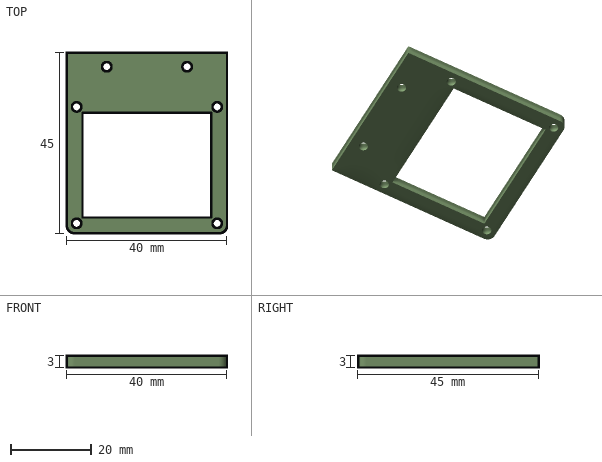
import cadquery as cq

plate_width = 40.0
plate_length = 45.0
plate_thickness = 3.0
corner_radius = 2.0

frame_border = 4.0
window_length = 26.0
window_width = plate_width - 2 * frame_border

hole_diameter = 2.3
frame_hole_inset = 2.5
frame_hole_pitch_y = 29.0
tab_hole_pitch_x = 20.0
tab_hole_inset = 3.5

front_edge = -plate_length / 2
back_edge = plate_length / 2


def make_plate():
    """Flat plate with its two front corners rounded."""
    plate = cq.Workplane("XY").box(plate_width, plate_length, plate_thickness)
    return plate.edges("|Z and <Y").fillet(corner_radius)


def cut_window(body):
    """Cut the window, leaving an equal border at the front and the sides."""
    window_center_y = front_edge + frame_border + window_length / 2
    window = (
        cq.Workplane("XY")
        .center(0, window_center_y)
        .box(window_width, window_length, plate_thickness)
    )
    return body.cut(window)


def hole_centers():
    """Mirrored hole pairs: two around the window and one near the back edge."""
    frame_hole_x = plate_width / 2 - frame_hole_inset
    front_hole_y = front_edge + frame_hole_inset
    pairs = [
        (frame_hole_x, front_hole_y),
        (frame_hole_x, front_hole_y + frame_hole_pitch_y),
        (tab_hole_pitch_x / 2, back_edge - tab_hole_inset),
    ]
    return [(side * x, y) for x, y in pairs for side in (-1, 1)]


def drill_holes(body):
    """Drill every hole straight through the plate."""
    return body.faces(">Z").workplane(origin=(0, 0, 0)).pushPoints(hole_centers()).hole(hole_diameter)


result = drill_holes(cut_window(make_plate()))